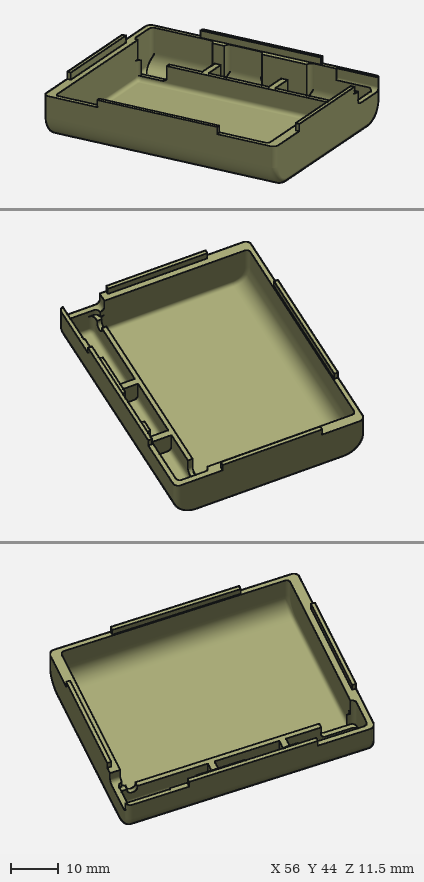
import cadquery as cq
import math

LENGTH = 56.0
WIDTH = 44.0
HEIGHT = 11.5
TAB_HEIGHT = 1.6
RIM_Z = HEIGHT - TAB_HEIGHT
BELLY_RADIUS = 5.0
EDGE_RADIUS = 1.25
WALL = 1.1
OVERCUT = 0.55

TAB_THICKNESS = 0.9
TAB_SHIFT = -0.5
LONG_TAB = 28.95
SHORT_TAB = 23.1

FLOOR_Z = 0.7
INNER_BELLY_RADIUS = 3.75
FLOOR_RADIUS = 1.0

MAIN_END_WALL = 2.3
MAIN_END_RADIUS = 0.85

TROUGH_END_WALL = 1.3
DIVIDER_TOP_Z = 5.4
DIVIDER_FRONT_Y = 13.55
DIVIDER_THICKNESS = 1.05
DIVIDER_BACK_Y = DIVIDER_FRONT_Y + DIVIDER_THICKNESS

RIB_THICKNESS = 1.5
RIB_CENTERS_X = (-10.0, 6.05)
PAD_DEPTH = 1.1
PAD_ROOT_RADIUS = 1.25
PAD_FACES_X = ((-11.3, -8.5), (0.6, 11.5))

PASSAGE_RADIUS = 1.1
NOTCH_X = 23.8
NOTCH_FLOOR_Z = 3.75
LOW_DIVIDER_TOP_Z = 1.8
LOW_DIVIDER_END_X = -18.7

SLOT_START_X = 17.85
SLOT_FLOOR_Z = 6.9
SLOT_FRONT_Y = 12.55
SLOT_BACK_Y = WIDTH / 2 - TAB_THICKNESS
SLOT_RADIUS = 1.0

INNER_Y = WIDTH / 2 - WALL
MAIN_HALF_X = LENGTH / 2 - MAIN_END_WALL
TROUGH_HALF_X = LENGTH / 2 - TROUGH_END_WALL


def block(x0, x1, y0, y1, z0, z1):
    """Box between opposite corners."""
    return cq.Workplane("XY").box(x1 - x0, y1 - y0, z1 - z0, centered=False).translate((x0, y0, z0))


def make_shell():
    """Solid outer body up to the rim."""
    body = block(-LENGTH / 2, LENGTH / 2, -WIDTH / 2, WIDTH / 2, 0, RIM_Z)
    body = body.edges("|X and <Z").fillet(BELLY_RADIUS)
    return body.faces("<X or >X").edges("not >Z").fillet(EDGE_RADIUS)


def make_tabs():
    """Four thin tabs standing on the rim, flush with the outer faces."""
    tabs = cq.Workplane("XY")
    for side in (-1, 1):
        tabs = tabs.union(
            cq.Workplane("XY")
            .box(LONG_TAB, TAB_THICKNESS, TAB_HEIGHT, centered=(True, True, False))
            .translate((TAB_SHIFT, side * (WIDTH - TAB_THICKNESS) / 2, RIM_Z))
        )
        tabs = tabs.union(
            cq.Workplane("XY")
            .box(TAB_THICKNESS, SHORT_TAB, TAB_HEIGHT, centered=(True, True, False))
            .translate((side * (LENGTH - TAB_THICKNESS) / 2, TAB_SHIFT, RIM_Z))
        )
    return tabs


def make_main_cavity():
    """Main compartment with rounded corners and a wide fillet on its outer side."""
    cavity = block(-MAIN_HALF_X, MAIN_HALF_X, -INNER_Y, DIVIDER_FRONT_Y, FLOOR_Z, RIM_Z + OVERCUT)
    cavity = cavity.edges("|X and <Z and <Y").fillet(INNER_BELLY_RADIUS)
    cavity = cavity.edges("|X and <Z and >Y").fillet(FLOOR_RADIUS)
    cavity = cavity.faces("<X or >X").edges("not >Z").fillet(MAIN_END_RADIUS)
    square_corners = block(
        -MAIN_HALF_X, MAIN_HALF_X,
        DIVIDER_FRONT_Y - MAIN_END_RADIUS, DIVIDER_FRONT_Y,
        DIVIDER_TOP_Z, RIM_Z + OVERCUT,
    )
    return cavity.union(square_corners)


def make_trough():
    """Trough behind the divider, with the space over the divider and over its low stretch."""
    top_z = RIM_Z + OVERCUT
    deep = block(-TROUGH_HALF_X, TROUGH_HALF_X, DIVIDER_BACK_Y, INNER_Y, FLOOR_Z, top_z)
    deep = deep.edges("|Z or (<Z and (not >Y))").fillet(FLOOR_RADIUS)

    headroom = block(
        -TROUGH_HALF_X, TROUGH_HALF_X, DIVIDER_FRONT_Y, INNER_Y, DIVIDER_TOP_Z, top_z
    )
    headroom = headroom.edges("|Z").fillet(FLOOR_RADIUS)

    low_space = block(
        -TROUGH_HALF_X, LOW_DIVIDER_END_X, DIVIDER_FRONT_Y, INNER_Y, LOW_DIVIDER_TOP_Z, top_z
    )
    low_space = low_space.edges("|Z and <X").fillet(FLOOR_RADIUS)
    low_space = low_space.edges("|Y and <Z and >X").fillet(PASSAGE_RADIUS)

    belly = block(-TROUGH_HALF_X, TROUGH_HALF_X, DIVIDER_FRONT_Y, INNER_Y, FLOOR_Z, top_z)
    belly = belly.edges("|X and <Z and >Y").fillet(INNER_BELLY_RADIUS)
    return deep.union(headroom).union(low_space).intersect(belly)


def make_ribs():
    """Cross ribs, level with the divider."""
    ribs = cq.Workplane("XY")
    for x in RIB_CENTERS_X:
        ribs = ribs.union(
            block(
                x - RIB_THICKNESS / 2, x + RIB_THICKNESS / 2,
                DIVIDER_BACK_Y, INNER_Y,
                0, DIVIDER_TOP_Z,
            )
        )
    return ribs


def make_pad(x0, x1):
    """Back wall pad whose sides flare into the wall with a concave arc."""
    face_y = INNER_Y - PAD_DEPTH
    arc_center_y = INNER_Y - PAD_ROOT_RADIUS
    end_angle = math.acos((face_y - arc_center_y) / PAD_ROOT_RADIUS)
    flare = PAD_ROOT_RADIUS * math.sin(end_angle)
    middle_x = flare - PAD_ROOT_RADIUS * math.sin(end_angle / 2)
    middle_y = arc_center_y + PAD_ROOT_RADIUS * math.cos(end_angle / 2)
    return (
        cq.Workplane("XY")
        .moveTo(x0, face_y)
        .lineTo(x1, face_y)
        .threePointArc((x1 + middle_x, middle_y), (x1 + flare, INNER_Y))
        .lineTo(x0 - flare, INNER_Y)
        .threePointArc((x0 - middle_x, middle_y), (x0, face_y))
        .close()
        .extrude(RIM_Z)
    )


def make_pads():
    """Both back wall pads."""
    pads = cq.Workplane("XY")
    for x0, x1 in PAD_FACES_X:
        pads = pads.union(make_pad(x0, x1))
    return pads


def make_divider_notch():
    """Round-bottomed wire notch across the divider near +X."""
    center_z = NOTCH_FLOOR_Z + PASSAGE_RADIUS
    return (
        cq.Workplane("XZ", origin=(NOTCH_X, DIVIDER_BACK_Y, 0))
        .moveTo(-PASSAGE_RADIUS, DIVIDER_TOP_Z)
        .lineTo(-PASSAGE_RADIUS, center_z)
        .threePointArc((0, NOTCH_FLOOR_Z), (PASSAGE_RADIUS, center_z))
        .lineTo(PASSAGE_RADIUS, DIVIDER_TOP_Z)
        .close()
        .extrude(DIVIDER_THICKNESS)
    )


def make_end_slot():
    """Opening over the lowered +X end wall, running into the back wall."""
    slot = block(
        SLOT_START_X, LENGTH / 2 + OVERCUT, SLOT_FRONT_Y, SLOT_BACK_Y, SLOT_FLOOR_Z, HEIGHT + OVERCUT
    )
    return slot.edges("|X and <Z").fillet(SLOT_RADIUS)


result = (
    make_shell()
    .union(make_tabs())
    .cut(make_main_cavity())
    .cut(make_trough().cut(make_ribs()).cut(make_pads()))
    .cut(make_divider_notch())
    .cut(make_end_slot())
)